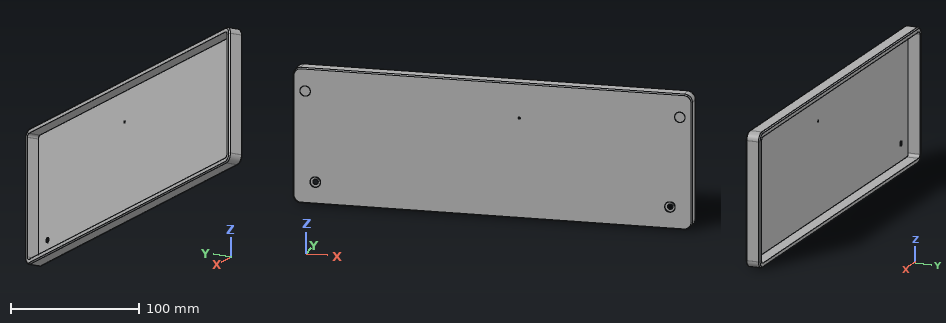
import cadquery as cq

length = 321.0
depth = 12.0
height = 110.7
corner_radius = 6.5
edge_chamfer = 1.0

wall = 4.0
floor = 2.0
inner_corner_radius = corner_radius - wall

foot_diameter = 8.5
foot_recess = 0.15
foot_side_offset = 10.0
foot_top_offset = 19.0

screw_diameter = 4.2
head_diameter = 8.5
head_depth = 1.0
screw_edge_offset = 18.0

small_hole_diameter = 1.5
small_hole_x = 21.5
small_hole_z = 26.5

front_y = -depth / 2
foot_x = length / 2 - foot_side_offset
foot_z = height / 2 - foot_top_offset
screw_x = length / 2 - screw_edge_offset
screw_z = screw_edge_offset - height / 2


def rounded_block(size_x, size_y, size_z, radius):
    """Block centred on the origin, with its four corners rounded about Y."""
    return cq.Workplane("XY").box(size_x, size_y, size_z).edges("|Y").fillet(radius)


def front_bore(x, z, diameter, bore_depth):
    """Cylinder reaching from the front face into the part."""
    circle = cq.Workplane("XZ", origin=(x, front_y, z)).circle(diameter / 2)
    return circle.extrude(-bore_depth)


def make_tray():
    """Rounded, chamfered block hollowed from the +Y side."""
    outer = rounded_block(length, depth, height, corner_radius)
    outer = outer.faces("<Y or >Y").chamfer(edge_chamfer)
    cavity = rounded_block(length - 2 * wall, depth, height - 2 * wall, inner_corner_radius)
    return outer.cut(cavity.translate((0, floor, 0)))


result = make_tray()
for side in (-1, 1):
    result = result.cut(front_bore(side * foot_x, foot_z, foot_diameter, foot_recess))
    result = result.cut(front_bore(side * screw_x, screw_z, head_diameter, head_depth))
    result = result.cut(front_bore(side * screw_x, screw_z, screw_diameter, floor))
result = result.cut(front_bore(small_hole_x, small_hole_z, small_hole_diameter, floor))